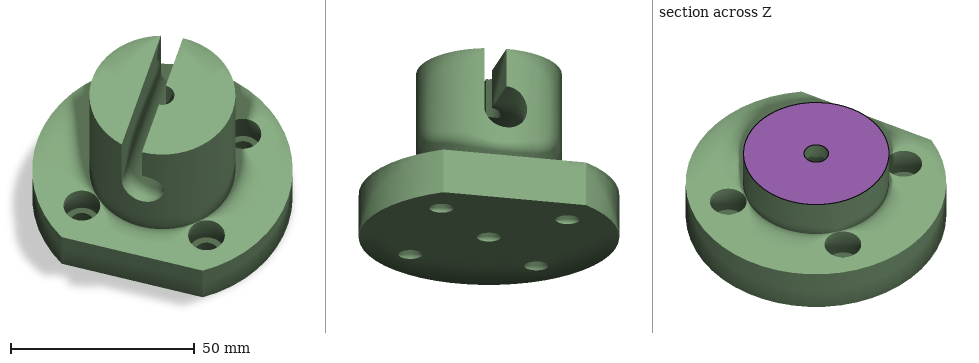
import cadquery as cq
import math

flange_diameter = 71.0
flange_thickness = 12.5
flat_distance = 29.3

boss_diameter = 39.75
total_height = 47.5

cross_bore_diameter = 12.0
cross_bore_height = 30.5
slot_width = cross_bore_diameter / 2

center_hole_diameter = 6.5

screw_hole_diameter = 6.5
counterbore_diameter = 10.0
counterbore_depth = 8.0
screw_circle_radius = 25.0
screw_hole_count = 4
first_screw_angle = 45.0


def make_flange():
    disc = cq.Workplane("XY").circle(flange_diameter / 2).extrude(flange_thickness)
    keep_length = flange_diameter / 2 + flat_distance
    keep_box = cq.Workplane("XY").box(
        flange_diameter, keep_length, flange_thickness, centered=(True, False, False)
    )
    return disc.intersect(keep_box.translate((0, -flat_distance, 0)))


def make_boss():
    return cq.Workplane("XY").circle(boss_diameter / 2).extrude(total_height)


def make_side_entry_slot():
    bore = (
        cq.Workplane("XZ")
        .center(0, cross_bore_height)
        .circle(cross_bore_diameter / 2)
        .extrude(boss_diameter / 2, both=True)
    )
    slot_height = total_height - cross_bore_height
    slot = cq.Workplane("XY").box(
        slot_width, boss_diameter, slot_height, centered=(False, True, False)
    )
    return bore.union(slot.translate((-slot_width, 0, cross_bore_height)))


def make_center_hole():
    return cq.Workplane("XY").circle(center_hole_diameter / 2).extrude(total_height)


def make_screw_hole(angle):
    x = screw_circle_radius * math.cos(math.radians(angle))
    y = screw_circle_radius * math.sin(math.radians(angle))
    hole = cq.Workplane("XY").circle(screw_hole_diameter / 2).extrude(flange_thickness)
    counterbore = (
        cq.Workplane("XY")
        .workplane(offset=flange_thickness - counterbore_depth)
        .circle(counterbore_diameter / 2)
        .extrude(counterbore_depth)
    )
    return hole.union(counterbore).translate((x, y, 0))


result = make_flange().union(make_boss())
result = result.cut(make_side_entry_slot()).cut(make_center_hole())
for index in range(screw_hole_count):
    screw_angle = first_screw_angle + index * 360 / screw_hole_count
    result = result.cut(make_screw_hole(screw_angle))